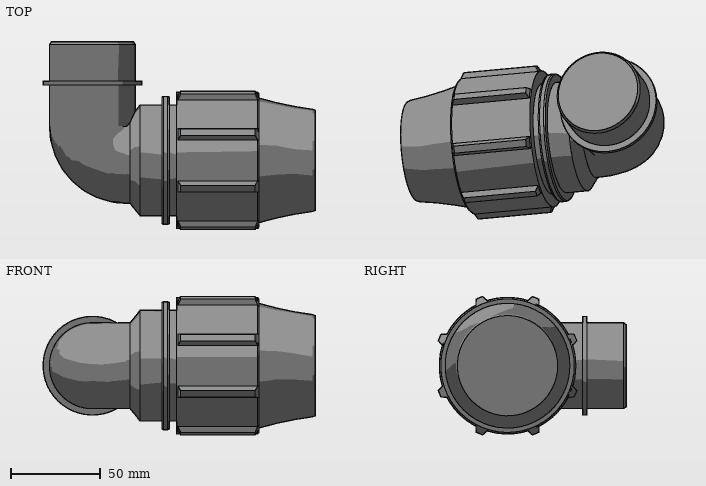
import cadquery as cq
import math

pipe_radius = 47.9 / 2
bend_radius = 19.0

spigot_end = 66.0
spigot_chamfer_length = 1.5
spigot_chamfer_depth = 1.0
spigot_collar_radius = 55.0 / 2
spigot_collar_start = 41.8
spigot_collar_width = 2.3

cone_start = 20.9
cone_end = 26.5
body_radius = 30.9
flange_start = 38.6
flange_width = 4.1
flange_radius = 71.4 / 2
flange_chamfer_length = 0.9
flange_chamfer_depth = 0.5

nut_start = 46.8
nut_end = 92.7
nut_radius = 38.0
nut_chamfer = 0.9
taper_start_radius = 34.7
taper_end_radius = 28.5
taper_sag = 0.6
socket_end = 151.5 - spigot_collar_radius
end_chamfer = 1.5
end_chamfer_depth = 0.6

rib_count = 8
rib_base_radius = 36.4
rib_top_radius = 40.9
rib_base_width = 8.2
rib_top_width = 4.0
rib_end_slope = 2.3


def make_bend():
    """Quarter turn whose section stops at the inner corner instead of crossing it."""
    half_chord = math.sqrt(pipe_radius**2 - bend_radius**2)
    section = (
        cq.Workplane("XZ", origin=(0, bend_radius, 0))
        .moveTo(bend_radius, -half_chord)
        .lineTo(bend_radius, half_chord)
        .threePointArc((-pipe_radius, 0), (bend_radius, -half_chord))
        .close()
    )
    return section.revolve(90, (bend_radius, 0), (bend_radius, 1))


def make_spigot():
    collar_end = spigot_collar_start + spigot_collar_width
    return (
        cq.Workplane("XY")
        .moveTo(0, bend_radius)
        .lineTo(pipe_radius, bend_radius)
        .lineTo(pipe_radius, spigot_collar_start)
        .lineTo(spigot_collar_radius, spigot_collar_start)
        .lineTo(spigot_collar_radius, collar_end)
        .lineTo(pipe_radius, collar_end)
        .lineTo(pipe_radius, spigot_end - spigot_chamfer_length)
        .lineTo(pipe_radius - spigot_chamfer_depth, spigot_end)
        .lineTo(0, spigot_end)
        .close()
        .revolve(360, (0, 0), (0, 1))
    )


def make_socket():
    """Neck, cone, flanged body, nut and tapered end as one turned shape."""
    flange_end = flange_start + flange_width
    taper_end = socket_end - end_chamfer
    taper_middle = (
        (nut_end + taper_end) / 2,
        (taper_start_radius + taper_end_radius) / 2 - taper_sag,
    )
    return (
        cq.Workplane("XY")
        .moveTo(bend_radius, 0)
        .lineTo(bend_radius, pipe_radius)
        .lineTo(cone_start, pipe_radius)
        .lineTo(cone_end, body_radius)
        .lineTo(flange_start, body_radius)
        .lineTo(flange_start, flange_radius - flange_chamfer_depth)
        .lineTo(flange_start + flange_chamfer_length, flange_radius)
        .lineTo(flange_end - flange_chamfer_length, flange_radius)
        .lineTo(flange_end, flange_radius - flange_chamfer_depth)
        .lineTo(flange_end, body_radius)
        .lineTo(nut_start, body_radius)
        .lineTo(nut_start, nut_radius)
        .lineTo(nut_end - nut_chamfer, nut_radius)
        .lineTo(nut_end, nut_radius - nut_chamfer)
        .lineTo(nut_end, taper_start_radius)
        .threePointArc(taper_middle, (taper_end, taper_end_radius))
        .lineTo(socket_end, taper_end_radius - end_chamfer_depth)
        .lineTo(socket_end, 0)
        .close()
        .revolve(360, (0, 0), (1, 0))
    )


def make_rib():
    """One grip rib on the +Z side, narrowing towards its top and sloped at both ends."""
    length = nut_end - nut_start
    return (
        cq.Workplane("XY", origin=((nut_start + nut_end) / 2, 0, rib_base_radius))
        .rect(length, rib_base_width)
        .workplane(offset=rib_top_radius - rib_base_radius)
        .rect(length - 2 * rib_end_slope, rib_top_width)
        .loft(ruled=True)
    )


result = make_bend().union(make_spigot()).union(make_socket())

rib = make_rib()
rib_spacing = 360 / rib_count
for index in range(rib_count):
    angle = (index + 0.5) * rib_spacing
    result = result.union(rib.rotate((0, 0, 0), (1, 0, 0), angle))